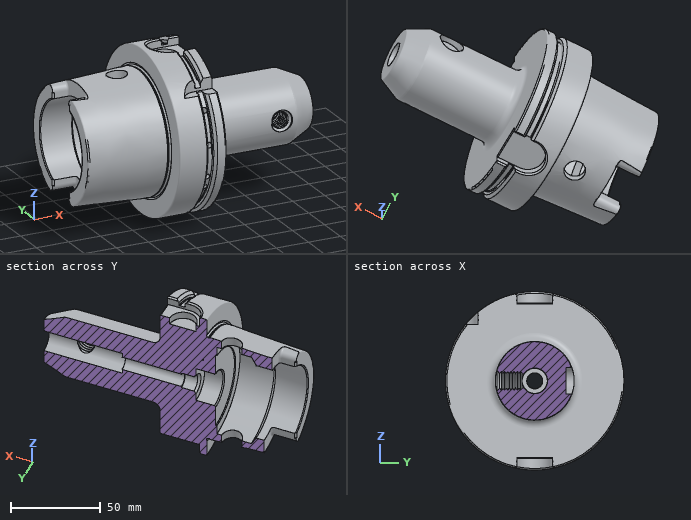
import cadquery as cq
import math


overall_length = 150.0
shank_length = 50.0
margin = 0.2
nose_end = overall_length - shank_length

taper_face_radius = 37.6
taper_slope = 0.05
shank_end_radius = taper_face_radius - taper_slope * shank_length
shank_edge_round = 0.9
relief_width = 1.8
relief_wall_run = 0.6
relief_radius = 37.0
relief_rim_radius = 38.0
relief_face_radius = 39.0
relief_face_depth = 0.5

flange_radius = 100.0 / 2
flange_width = 29.0
flange_round = 0.9
groove_center = 20.0
groove_radius = 46.0
groove_half_width = 1.8
groove_mouth_half_width = 3.3
groove_flank_drop = 1.8
groove_floor_round = 0.5

nose_radius = 22.0
neck_fillet = 4.6
nose_cone_start = 87.0
nose_cone_small_radius = 15.8
nose_cone_round = 2.2
nose_edge_round = 0.9

bore_radius = 26.4
bore_entry_chamfer = 0.6
bore_land_end = -30.0
cavity_radius = 31.5
cavity_cone_angle = 60.0
cavity_floor = -6.0
floor_recess_radius = 25.6
floor_recess_depth = 0.8

coolant_seat_radius = 11.4
coolant_seat_chamfer = 0.8
coolant_seat_depth = 12.0
coolant_radius = 4.4
coolant_thread_radius = 5.1
coolant_thread_depth = 9.0
coolant_mouth_radius = 6.5
tool_bore_radius = 7.0
tool_bore_depth = 48.0

drive_slot_half_width = 10.0
drive_slot_depth_top = 10.0
drive_slot_depth_bottom = 15.0
drive_slot_corner_height = 27.9
drive_slot_corner_radius = 4.0
drive_slot_flare_half_width = 21.0
drive_slot_root_fillet = 1.5
drive_slot_mouth_chamfer = 1.0

cross_hole_x = -15.0
cross_hole_radius = 6.0

keyway_center = 14.8
keyway_half_width = 10.0
keyway_floor = 43.5
keyway_chamfer = 1.0
keyway_floor_end_chamfer = 0.6
data_hole_radius = 8.0
data_hole_depth = 4.5

notch_offset = 31.6
notch_round_center = 11.0
notch_radius = 10.0

balance_hole_radius = 1.6
balance_hole_depth = 6.0
drill_point_angle = 118.0
balance_hole_angles = (30.0, 5.0, -20.0, -30.0)

screw_x = 77.4
screw_mouth_radius = 6.5
screw_major_radius = 6.0
screw_minor_radius = 5.0
thread_pitch = 1.8
pocket_x = 74.8
pocket_radius = 7.4
pocket_depth = 4.5


def revolve_about_x(outline):
    """Close an outline drawn as (x, radius) and turn it about the X axis."""
    return outline.close().revolve(360, (0, 0, 0), (1, 0, 0))


def make_shank():
    shank = revolve_about_x(
        cq.Workplane("XY")
        .moveTo(-shank_length, 0)
        .lineTo(-shank_length, shank_end_radius)
        .lineTo(-relief_width, taper_face_radius - taper_slope * relief_width)
        .lineTo(-relief_width + relief_wall_run, relief_radius)
        .lineTo(-relief_wall_run, relief_radius)
        .lineTo(relief_face_depth, relief_rim_radius)
        .lineTo(relief_face_depth, 0)
    )
    return shank.faces("<X").edges().fillet(shank_edge_round)


def gripper_groove():
    """Ring groove with flared mouth and rounded floor corners."""
    wall = groove_half_width
    rim_radius = flange_radius - groove_flank_drop
    floor_edge = groove_half_width - groove_floor_round
    round_top = groove_radius + groove_floor_round
    return revolve_about_x(
        cq.Workplane("XY", origin=(groove_center, 0, 0))
        .moveTo(-floor_edge, groove_radius)
        .radiusArc((-wall, round_top), groove_floor_round)
        .lineTo(-wall, rim_radius)
        .lineTo(-groove_mouth_half_width, flange_radius)
        .lineTo(groove_mouth_half_width, flange_radius)
        .lineTo(wall, rim_radius)
        .lineTo(wall, round_top)
        .radiusArc((floor_edge, groove_radius), groove_floor_round)
    )


def keyway():
    """Keyway above the axis: round at its inner end and open toward the nose."""
    length = flange_width - keyway_center
    height = flange_radius - keyway_floor
    base = cq.Workplane("XY", origin=(keyway_center, 0, keyway_floor))
    return (
        base.circle(keyway_half_width).extrude(height)
        .union(base.center(length / 2, 0).rect(length, 2 * keyway_half_width).extrude(height))
    )


def make_flange():
    flange = cq.Workplane("YZ").circle(flange_radius).extrude(flange_width)
    flange = flange.faces("<X").edges().fillet(flange_round)
    for angle in (0, 180):
        flange = flange.cut(keyway().rotate((0, 0, 0), (1, 0, 0), angle))
    rim_height = math.sqrt(flange_radius**2 - keyway_half_width**2)
    for side in (1, -1):
        heights = sorted((side * (rim_height - margin), side * (flange_radius + margin)))
        mouth = cq.selectors.BoxSelector(
            (flange_round + margin, -keyway_half_width - margin, heights[0]),
            (flange_width - margin, keyway_half_width + margin, heights[1]),
        )
        flange = flange.edges(mouth).chamfer(keyway_chamfer)
    flange = flange.faces(">X").edges("|Y").chamfer(keyway_floor_end_chamfer)
    flange = flange.faces(">X").edges("%CIRCLE").fillet(flange_round)
    face_relief = revolve_about_x(
        cq.Workplane("XY")
        .lineTo(0, relief_face_radius)
        .lineTo(relief_face_depth, relief_rim_radius)
        .lineTo(relief_face_depth, 0)
    )
    return flange.cut(gripper_groove()).cut(face_relief)


def make_nose():
    nose = revolve_about_x(
        cq.Workplane("XY")
        .moveTo(relief_face_depth, 0)
        .lineTo(relief_face_depth, nose_radius + neck_fillet)
        .lineTo(flange_width, nose_radius + neck_fillet)
        .radiusArc((flange_width + neck_fillet, nose_radius), -neck_fillet)
        .lineTo(nose_cone_start, nose_radius)
        .lineTo(nose_end, nose_cone_small_radius)
        .lineTo(nose_end, 0)
    )
    nose = nose.faces(">X").edges().fillet(nose_edge_round)
    reach = nose_radius + margin
    cone_edge = cq.selectors.BoxSelector(
        (nose_cone_start - margin, -reach, -reach),
        (nose_cone_start + margin, reach, reach),
        boundingbox=True,
    )
    return nose.edges(cone_edge).fillet(nose_cone_round)


def make_axial_bore():
    """All holes on the axis: clamping bore, cavity, coolant seat and passage, tool bore."""
    cone_length = (cavity_radius - bore_radius) / math.tan(math.radians(cavity_cone_angle))
    recess_floor = cavity_floor + floor_recess_depth
    seat_floor = recess_floor + coolant_seat_depth
    tool_bore_floor = nose_end - tool_bore_depth
    return revolve_about_x(
        cq.Workplane("XY")
        .moveTo(-shank_length, 0)
        .lineTo(-shank_length, bore_radius + bore_entry_chamfer)
        .lineTo(-shank_length + bore_entry_chamfer, bore_radius)
        .lineTo(bore_land_end, bore_radius)
        .lineTo(bore_land_end + cone_length, cavity_radius)
        .lineTo(cavity_floor, cavity_radius)
        .lineTo(cavity_floor, floor_recess_radius)
        .lineTo(recess_floor, floor_recess_radius)
        .lineTo(recess_floor, coolant_seat_radius + coolant_seat_chamfer)
        .lineTo(recess_floor + coolant_seat_chamfer, coolant_seat_radius)
        .lineTo(seat_floor, coolant_seat_radius)
        .lineTo(seat_floor, coolant_mouth_radius)
        .lineTo(seat_floor + coolant_mouth_radius - coolant_thread_radius, coolant_thread_radius)
        .lineTo(seat_floor + coolant_thread_depth, coolant_thread_radius)
        .lineTo(seat_floor + coolant_thread_depth, coolant_radius)
        .lineTo(tool_bore_floor, coolant_radius)
        .lineTo(tool_bore_floor, tool_bore_radius)
        .lineTo(nose_end, tool_bore_radius)
        .lineTo(nose_end, 0)
    )


def drive_slot(depth):
    """Slot at the +Z side of the shank end; it flares outward over rounded lug corners."""
    flare_y = drive_slot_half_width + drive_slot_corner_radius
    flare_z = drive_slot_corner_height + drive_slot_corner_radius
    top = taper_face_radius
    slot = (
        cq.Workplane("YZ", origin=(-shank_length, 0, 0))
        .moveTo(-drive_slot_half_width, 0)
        .lineTo(drive_slot_half_width, 0)
        .lineTo(drive_slot_half_width, drive_slot_corner_height)
        .radiusArc((flare_y, flare_z), drive_slot_corner_radius)
        .lineTo(drive_slot_flare_half_width, flare_z)
        .lineTo(drive_slot_flare_half_width, top)
        .lineTo(-drive_slot_flare_half_width, top)
        .lineTo(-drive_slot_flare_half_width, flare_z)
        .lineTo(-flare_y, flare_z)
        .radiusArc((-drive_slot_half_width, drive_slot_corner_height), drive_slot_corner_radius)
        .close()
        .extrude(depth)
    )
    slot = slot.faces(">X").edges("not (<Z or >Z)").fillet(drive_slot_root_fillet)
    mouth_half_width = drive_slot_half_width + drive_slot_mouth_chamfer
    mouth = (
        cq.Workplane("XY")
        .moveTo(-shank_length, -mouth_half_width)
        .lineTo(-shank_length, mouth_half_width)
        .lineTo(-shank_length + drive_slot_mouth_chamfer, drive_slot_half_width)
        .lineTo(-shank_length + drive_slot_mouth_chamfer, -drive_slot_half_width)
        .close()
        .extrude(drive_slot_corner_height)
    )
    return slot.union(mouth)


def cross_hole():
    """Hole straight through both walls of the shank."""
    base = cq.Workplane("XY", origin=(cross_hole_x, 0, 0))
    return base.circle(cross_hole_radius).extrude(taper_face_radius, both=True)


def data_hole():
    """Round blind hole in the floor of the upper keyway."""
    base = cq.Workplane("XY", origin=(keyway_center, 0, keyway_floor - data_hole_depth))
    return base.circle(data_hole_radius).extrude(data_hole_depth)


def orientation_notch():
    """Notch on the -Y, +Z shoulder of the flange, with a flat floor and a round inner end."""
    base = cq.Workplane("XY", origin=(flange_width - notch_round_center, 0, notch_offset))
    wall_y = -notch_offset - notch_radius
    return (
        base.center(0, wall_y).circle(notch_radius).extrude(flange_radius)
        .union(
            base.center(notch_round_center / 2, wall_y)
            .rect(notch_round_center, 2 * notch_radius).extrude(flange_radius)
        )
    )


def balance_hole(angle):
    """Radial drilled hole in the groove floor, turned from -Y toward +Z by the angle."""
    tip_length = balance_hole_radius / math.tan(math.radians(drill_point_angle / 2))
    floor_y = balance_hole_depth - groove_radius
    hole = (
        cq.Workplane("XY", origin=(groove_center, 0, 0))
        .moveTo(0, -groove_radius - groove_floor_round)
        .lineTo(balance_hole_radius, -groove_radius - groove_floor_round)
        .lineTo(balance_hole_radius, floor_y)
        .lineTo(0, floor_y + tip_length)
        .close()
        .revolve(360, (0, 0, 0), (0, 1, 0))
    )
    return hole.rotate((0, 0, 0), (1, 0, 0), -angle)


def screw_hole():
    """Threaded hole from the -Y side into the tool bore, its thread cut as ring grooves."""
    mouth_y = -math.sqrt(nose_radius**2 - screw_mouth_radius**2)
    thread_start = mouth_y + screw_mouth_radius - screw_minor_radius
    thread_count = math.ceil((-tool_bore_radius - thread_start) / thread_pitch)
    outline = (
        cq.Workplane("XY", origin=(screw_x, 0, 0))
        .moveTo(0, -nose_radius)
        .lineTo(screw_mouth_radius, -nose_radius)
        .lineTo(screw_mouth_radius, mouth_y)
        .lineTo(screw_minor_radius, thread_start)
    )
    for turn in range(thread_count):
        groove_start = thread_start + turn * thread_pitch
        outline = outline.lineTo(screw_major_radius, groove_start + thread_pitch / 2)
        outline = outline.lineTo(screw_minor_radius, groove_start + thread_pitch)
    outline = outline.lineTo(screw_minor_radius, 0).lineTo(0, 0).close()
    return outline.revolve(360, (0, 0, 0), (0, 1, 0))


def nose_pocket():
    """Shallow round pocket on the +Y side of the nose."""
    base = cq.Workplane("XZ", origin=(pocket_x, nose_radius - pocket_depth, 0))
    return base.circle(pocket_radius).extrude(-pocket_depth)


result = make_flange().union(make_shank()).union(make_nose())
result = result.cut(make_axial_bore())
result = result.cut(drive_slot(drive_slot_depth_top))
result = result.cut(drive_slot(drive_slot_depth_bottom).rotate((0, 0, 0), (1, 0, 0), 180))
result = result.cut(cross_hole())
result = result.cut(data_hole())
result = result.cut(orientation_notch())
for hole_angle in balance_hole_angles:
    result = result.cut(balance_hole(hole_angle))
result = result.cut(screw_hole())
result = result.cut(nose_pocket())